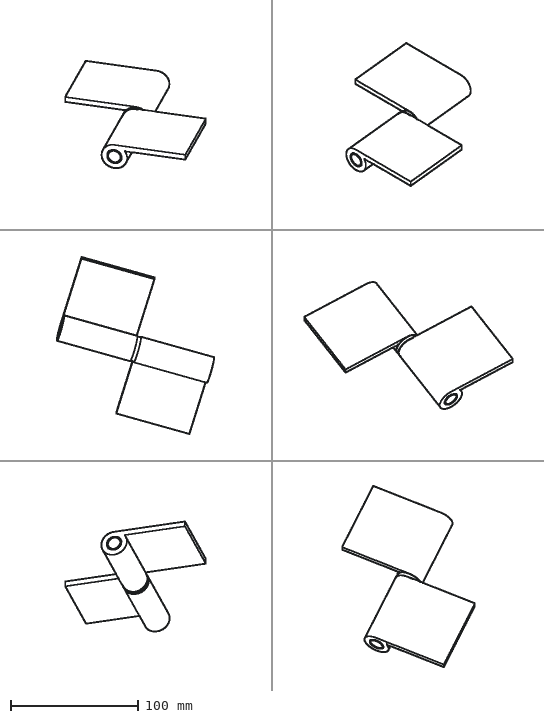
import cadquery as cq

barrel_diameter = 21.0
leaf_reach = 58.0
leaf_length = 60.0
leaf_thickness = 4.5
collar_diameter = 20.0
collar_thickness = 3.0
bore_diameter = 12.0
pin_diameter = 11.0
pin_chamfer = 0.5

barrel_radius = barrel_diameter / 2
half_gap = collar_thickness / 2
half_length = half_gap + leaf_length


def cylinder_along_y(diameter, y_start, y_end):
    """Cylinder on the hinge axis between two Y positions."""
    return (
        cq.Workplane("XZ", origin=(0, y_start, 0))
        .circle(diameter / 2)
        .extrude(y_start - y_end)
    )


def make_leaf(turn):
    """Flat plate tangent to the top of its barrel, turned about Z into place."""
    barrel = cylinder_along_y(barrel_diameter, -half_length, -half_gap)
    plate = cq.Workplane("XY").box(
        leaf_reach, leaf_length, leaf_thickness, centered=False
    ).translate((0, -half_length, barrel_radius - leaf_thickness))
    bore = cylinder_along_y(bore_diameter, -half_length, -half_gap)
    leaf = barrel.union(plate).cut(bore)
    return leaf.rotate((0, 0, 0), (0, 0, 1), turn)


def make_pin():
    """Pin flush with both barrel ends, with a collar that spaces the leaves."""
    shaft = cylinder_along_y(pin_diameter, -half_length, half_length)
    shaft = shaft.faces("<Y or >Y").chamfer(pin_chamfer)
    collar = cylinder_along_y(collar_diameter, -half_gap, half_gap)
    return shaft.union(collar)


leaves = [make_leaf(turn) for turn in (0, 180)]
pin = make_pin()

result = cq.Compound.makeCompound([*[leaf.val() for leaf in leaves], pin.val()])